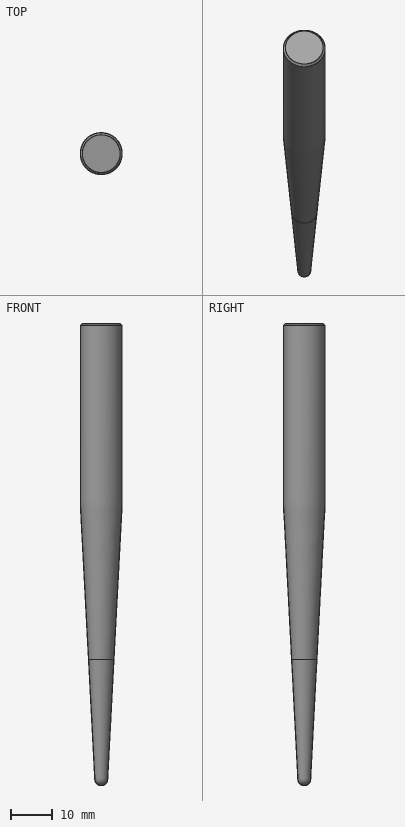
import cadquery as cq
import math


overall_length = 110.05
shank_diameter = 10.0
shank_chamfer = 0.5

ball_radius = 1.55
head_length = 30.0
taper_angle = math.radians(3.0)

neck_length = 37.0
blend_radius = 20.0

tip_z = -ball_radius
head_top_z = tip_z + head_length
neck_top_z = head_top_z + neck_length
shank_top_z = tip_z + overall_length

shank_radius = shank_diameter / 2
tangent_radius = ball_radius * math.cos(taper_angle)
tangent_z = -ball_radius * math.sin(taper_angle)
head_top_radius = tangent_radius + (head_top_z - tangent_z) * math.tan(taper_angle)

neck_angle = math.atan2(shank_radius - head_top_radius, neck_length)
blend_tangent_length = blend_radius * math.tan(neck_angle / 2)
blend_top_z = neck_top_z + blend_tangent_length


def ball_point(angle):
    """Point of the ball's outline, with the angle measured from the tip."""
    return ball_radius * math.sin(angle), -ball_radius * math.cos(angle)


def blend_point(angle):
    """Point of the blend arc, with the angle measured from its top end."""
    radius = shank_radius - blend_radius * (1 - math.cos(angle))
    return radius, blend_top_z - blend_radius * math.sin(angle)


def make_cutting_head():
    """Conical head that ends in a tangent ball nose."""
    arc_angle = math.pi / 2 - taper_angle
    return (
        cq.Workplane("XZ")
        .moveTo(0, tip_z)
        .threePointArc(ball_point(arc_angle / 2), ball_point(arc_angle))
        .lineTo(head_top_radius, head_top_z)
        .lineTo(0, head_top_z)
        .close()
        .revolve(360, (0, 0, 0), (0, 1, 0))
    )


def make_shank():
    """Tapered neck, blended into a chamfered cylindrical shank."""
    return (
        cq.Workplane("XZ")
        .moveTo(0, head_top_z)
        .lineTo(head_top_radius, head_top_z)
        .lineTo(*blend_point(neck_angle))
        .threePointArc(blend_point(neck_angle / 2), blend_point(0))
        .lineTo(shank_radius, shank_top_z - shank_chamfer)
        .lineTo(shank_radius - shank_chamfer, shank_top_z)
        .lineTo(0, shank_top_z)
        .close()
        .revolve(360, (0, 0, 0), (0, 1, 0))
    )


cutting_head = make_cutting_head()
shank = make_shank()

result = cq.Compound.makeCompound([cutting_head.val(), shank.val()])